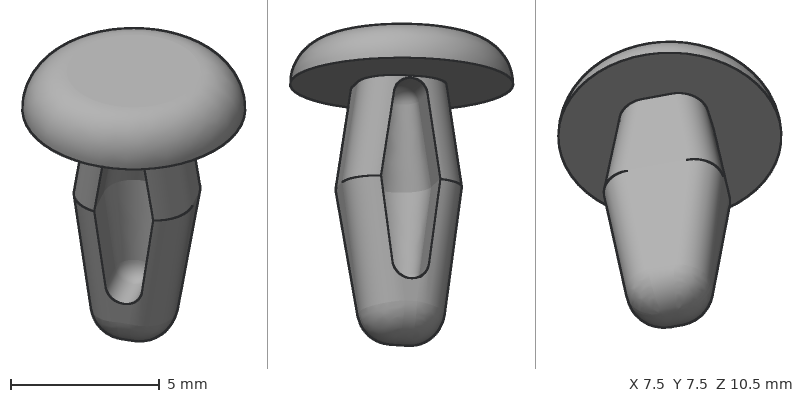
import cadquery as cq
import math

head_radius = 3.75
head_height = 1.5

total_length = 10.5
tip_z = head_height - total_length
bulge_z = -3.51
top_half_width = 1.51
bulge_half_width = 2.05
tip_half_width = 1.31
front_y = -1.26
back_y = 1.85
tip_back_y = 1.05
front_corner_radius = 1.25
back_corner_radius = 1.0
tip_radius = 1.21

leg_thickness = 1.02
slot_half_width = bulge_half_width - leg_thickness
slot_top_radius = 0.59
slot_bottom_radius = 0.64


def make_head():
    flat_radius = head_radius - head_height
    diagonal = head_height * math.sqrt(0.5)
    return (
        cq.Workplane("XZ")
        .lineTo(head_radius, 0)
        .threePointArc((flat_radius + diagonal, diagonal), (flat_radius, head_height))
        .lineTo(0, head_height)
        .close()
        .revolve(360, (0, 0), (0, 1))
    )


def shank_block(end_z, end_half_width, end_back_y):
    """Block from the bulge to end_z with rounded long corners."""
    width_profile = [
        (-bulge_half_width, bulge_z),
        (bulge_half_width, bulge_z),
        (end_half_width, end_z),
        (-end_half_width, end_z),
    ]
    depth_profile = [
        (front_y, bulge_z),
        (back_y, bulge_z),
        (end_back_y, end_z),
        (front_y, end_z),
    ]
    wide = cq.Workplane("XZ").polyline(width_profile).close().extrude(head_radius, both=True)
    deep = cq.Workplane("YZ").polyline(depth_profile).close().extrude(head_radius, both=True)
    block = wide.intersect(deep)
    block = block.faces("<Y").edges("not |X").fillet(front_corner_radius)
    return block.faces(">Y").edges("not |X").fillet(back_corner_radius)


def make_shank():
    upper = shank_block(0, top_half_width, back_y)
    lower = shank_block(tip_z, tip_half_width, tip_back_y)
    lower = lower.faces("<Z").edges().fillet(tip_radius)
    return upper.union(lower)


def slot_end(end_z, end_half_width, end_radius, direction):
    """Axial centre of a rounded slot end and the point where its arc meets the wall."""
    slope = (bulge_half_width - end_half_width) / abs(end_z - bulge_z)
    angle = math.atan(slope)
    distance = (slot_half_width - end_radius / math.cos(angle)) / slope
    center_z = bulge_z + direction * distance
    tangent = (end_radius * math.cos(angle), center_z + direction * end_radius * math.sin(angle))
    return center_z, tangent


def make_slot():
    top_z, top_tangent = slot_end(0, top_half_width, slot_top_radius, 1)
    bottom_z, bottom_tangent = slot_end(tip_z, tip_half_width, slot_bottom_radius, -1)
    top_diagonal = slot_top_radius * math.sqrt(0.5)
    bottom_diagonal = slot_bottom_radius * math.sqrt(0.5)
    outline = (
        cq.Workplane("XZ")
        .moveTo(0, top_z + slot_top_radius)
        .threePointArc((top_diagonal, top_z + top_diagonal), top_tangent)
        .lineTo(slot_half_width, bulge_z)
        .lineTo(*bottom_tangent)
        .threePointArc(
            (bottom_diagonal, bottom_z - bottom_diagonal),
            (0, bottom_z - slot_bottom_radius),
        )
        .close()
        .val()
    )
    right_half = cq.Workplane("XZ").add(outline).toPending().extrude(head_radius)
    left_half = right_half.mirror("YZ")
    floor = cq.Workplane("XZ").add(outline).toPending().revolve(360, (0, 0), (0, 1))
    return right_half.union(left_half).union(floor)


result = make_head().union(make_shank()).cut(make_slot())